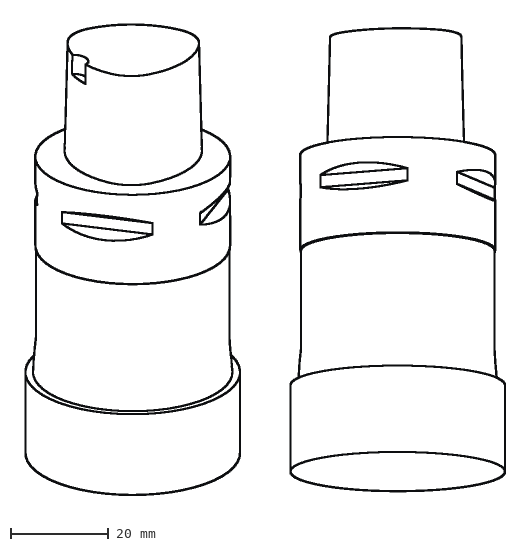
import cadquery as cq
import math

TOTAL_HEIGHT = 90.0
BASE_HEIGHT = 18.0
FLARE_TOP = 25.4
FLANGE_BOTTOM = 46.0
FLANGE_TOP = 66.0

BASE_DIAMETER = 44.0
FLARE_DIAMETER = 40.9
NECK_DIAMETER = 39.7
FLANGE_DIAMETER = 40.0
FLANGE_EDGE_CHAMFER = 0.135
FLARE_BULGE = 0.1

SHANK_WIDTH = 28.2
CORNER_RADIUS = 8.6
FLANK_RADIUS = SHANK_WIDTH - CORNER_RADIUS
CENTER_DISTANCE = (FLANK_RADIUS - CORNER_RADIUS) / math.sqrt(3)
SHANK_HEIGHT = TOTAL_HEIGHT - FLANGE_TOP
SHANK_TAPER = math.degrees(math.atan(1 / 40))

KEYWAY_RADIUS = 3.3
KEYWAY_DEPTH = 4.2
KEYWAY_CENTER_Y = -14.0

GROOVE_COUNT = 4
GROOVE_START_ANGLE = 45.0
GROOVE_CENTER_Z = 58.2
GROOVE_FLOOR_DISTANCE = 17.5
GROOVE_FLOOR_HEIGHT = 2.5
GROOVE_WALL_ANGLE = 30.0
CUT_MARGIN = 0.9


def polar(radius, angle, center=(0.0, 0.0)):
    """Point at a radius and an angle in degrees from a centre."""
    turn = math.radians(angle)
    return center[0] + radius * math.cos(turn), center[1] + radius * math.sin(turn)


def make_shank():
    """Tapered three-lobed shank with one lobe toward +Y."""
    first_lobe = 90.0
    outline = cq.Workplane("XY", origin=(0, 0, FLANGE_TOP))
    outline = outline.moveTo(*polar(CORNER_RADIUS, first_lobe - 30, polar(CENTER_DISTANCE, first_lobe)))
    for lobe in (first_lobe, first_lobe + 120, first_lobe + 240):
        corner = polar(CENTER_DISTANCE, lobe)
        next_corner = polar(CENTER_DISTANCE, lobe + 120)
        flank_middle = polar(FLANK_RADIUS - CENTER_DISTANCE, lobe + 60)
        outline = outline.threePointArc(
            polar(CORNER_RADIUS, lobe, corner), polar(CORNER_RADIUS, lobe + 30, corner)
        )
        outline = outline.threePointArc(flank_middle, polar(CORNER_RADIUS, lobe + 90, next_corner))
    return outline.close().extrude(SHANK_HEIGHT, taper=SHANK_TAPER)


def make_keyway_cutter():
    """Upright round cutter that opens the keyway in the -Y flank."""
    return (
        cq.Workplane("XY", origin=(0, KEYWAY_CENTER_Y, TOTAL_HEIGHT - KEYWAY_DEPTH))
        .circle(KEYWAY_RADIUS)
        .extrude(KEYWAY_DEPTH + CUT_MARGIN)
    )


def make_groove_cutter(angle):
    """Straight groove with sloping walls, cut across the flange at an angle about Z."""
    outer = FLANGE_DIAMETER / 2 + CUT_MARGIN
    floor_half = GROOVE_FLOOR_HEIGHT / 2
    wall_rise = (outer - GROOVE_FLOOR_DISTANCE) * math.tan(math.radians(GROOVE_WALL_ANGLE))
    mouth_half = floor_half + wall_rise
    section = cq.Workplane("XZ", origin=(0, 0, GROOVE_CENTER_Z)).polyline([
        (GROOVE_FLOOR_DISTANCE, -floor_half),
        (outer, -mouth_half),
        (outer, mouth_half),
        (GROOVE_FLOOR_DISTANCE, floor_half),
    ])
    cutter = section.close().extrude(FLANGE_DIAMETER / 2, both=True)
    return cutter.rotate((0, 0, 0), (0, 0, 1), angle)


def make_coupling():
    """Flange with gripper grooves, carrying the polygon shank."""
    flange = (
        cq.Workplane("XY", origin=(0, 0, FLANGE_BOTTOM))
        .circle(FLANGE_DIAMETER / 2)
        .extrude(FLANGE_TOP - FLANGE_BOTTOM)
        .faces("<Z")
        .chamfer(FLANGE_EDGE_CHAMFER)
    )
    for index in range(GROOVE_COUNT):
        angle = GROOVE_START_ANGLE + index * 360 / GROOVE_COUNT
        flange = flange.cut(make_groove_cutter(angle))
    shank = make_shank().cut(make_keyway_cutter())
    return flange.union(shank)


def make_holder():
    """Turned holder: wide foot, slightly bowed flare and plain neck."""
    flare_middle = (
        (FLARE_DIAMETER + NECK_DIAMETER) / 4 + FLARE_BULGE,
        (BASE_HEIGHT + FLARE_TOP) / 2,
    )
    profile = (
        cq.Workplane("XZ")
        .lineTo(BASE_DIAMETER / 2, 0)
        .lineTo(BASE_DIAMETER / 2, BASE_HEIGHT)
        .lineTo(FLARE_DIAMETER / 2, BASE_HEIGHT)
        .threePointArc(flare_middle, (NECK_DIAMETER / 2, FLARE_TOP))
        .lineTo(NECK_DIAMETER / 2, FLANGE_BOTTOM)
        .lineTo(0, FLANGE_BOTTOM)
        .close()
    )
    return profile.revolve(360, (0, 0, 0), (0, 1, 0))


holder = make_holder()
coupling = make_coupling()
result = cq.Compound.makeCompound([holder.val(), coupling.solids().val()])